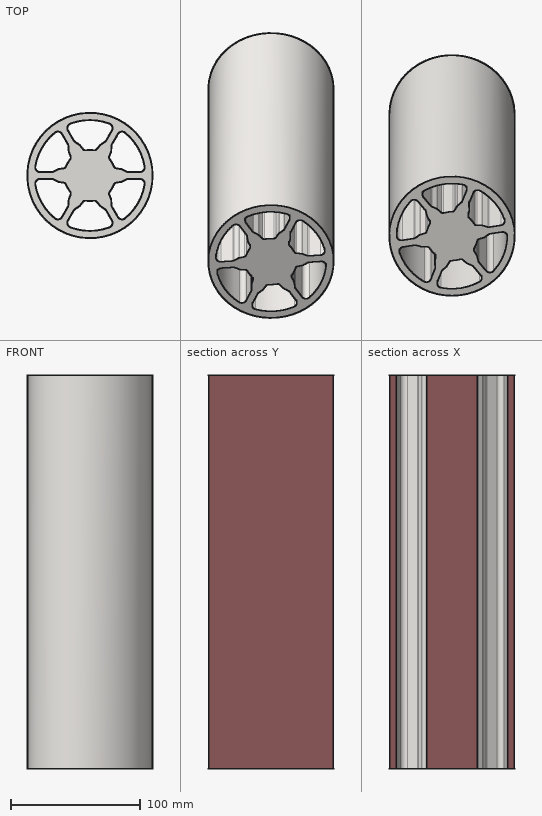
import cadquery as cq
import math

length = 304.8
outer_diameter = 97.2
wall_thickness = 5.8

spoke_count = 6
spoke_width = 5.5
hub_radius = 19.8
flare_start_radius = 29.0
flare_end_radius = 24.5
flare_width = 10.0
root_width = 11.5
root_radius = 19.2
outer_corner_fillet = 3.7
flare_blend = 1.8

cavity_radius = outer_diameter / 2 - wall_thickness
sector_angle = 360 / spoke_count


def wall_point(along, offset, side):
    """Point beside a spoke, with the pocket centred on the +Y axis.

    side is 1 for the spoke on the right of the pocket, -1 for the left.
    """
    half_sector = math.radians(sector_angle / 2)
    x = along * math.sin(half_sector) - offset * math.cos(half_sector)
    y = along * math.cos(half_sector) + offset * math.sin(half_sector)
    return (side * x, y)


def spoke_side(side):
    """Points of one pocket side, from the hub out to the tube wall."""
    rim_along = math.sqrt(cavity_radius**2 - (spoke_width / 2) ** 2)
    return [
        wall_point(root_radius, root_width / 2, side),
        wall_point(flare_end_radius, flare_width / 2, side),
        wall_point(flare_start_radius, spoke_width / 2, side),
        wall_point(rim_along, spoke_width / 2, side),
    ]


def make_pocket():
    """Through pocket between two neighbouring spokes."""
    right = spoke_side(1)
    left = spoke_side(-1)
    pocket = (
        cq.Workplane("XY")
        .moveTo(*right[0])
        .lineTo(*right[1])
        .lineTo(*right[2])
        .lineTo(*right[3])
        .threePointArc((0, cavity_radius), left[3])
        .lineTo(*left[2])
        .lineTo(*left[1])
        .lineTo(*left[0])
        .threePointArc((0, hub_radius), right[0])
        .close()
        .extrude(length)
    )
    zone_split = (right[2][1] + right[3][1]) / 2
    rim_zone = cq.selectors.BoxSelector(
        (-cavity_radius, zone_split, 0),
        (cavity_radius, cavity_radius, length),
    )
    pocket = pocket.edges("|Z").edges(rim_zone).fillet(outer_corner_fillet)
    flare_zone = cq.selectors.BoxSelector(
        (-cavity_radius, 0, 0),
        (cavity_radius, zone_split, length),
    )
    return pocket.edges("|Z").edges(flare_zone).fillet(flare_blend)


result = cq.Workplane("XY").circle(outer_diameter / 2).extrude(length)
pocket = make_pocket()
for index in range(spoke_count):
    result = result.cut(pocket.rotate((0, 0, 0), (0, 0, 1), index * sector_angle))